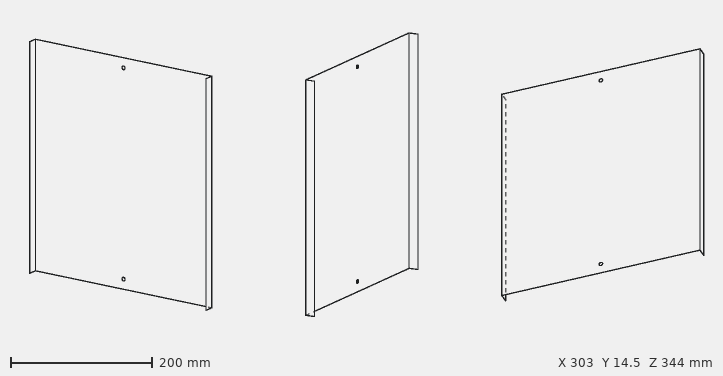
import cadquery as cq

width = 303.0
depth = 14.5
height = 344.0
sheet = 0.5

hole_diameter = 5.0
hole_edge_distance = 15.0


def folded_channel():
    """Flat back sheet at +Y with a flange toward -Y along each side."""
    outer = cq.Workplane("XY").box(width, depth, height)
    inner = (
        cq.Workplane("XY")
        .box(width - 2 * sheet, depth, height)
        .translate((0, -sheet, 0))
    )
    return outer.cut(inner)


def mounting_holes():
    """Cutters through the back sheet near its top and bottom edges."""
    hole_height = height / 2 - hole_edge_distance
    return (
        cq.Workplane("XZ")
        .pushPoints([(0, hole_height), (0, -hole_height)])
        .circle(hole_diameter / 2)
        .extrude(depth, both=True)
    )


result = folded_channel().cut(mounting_holes())